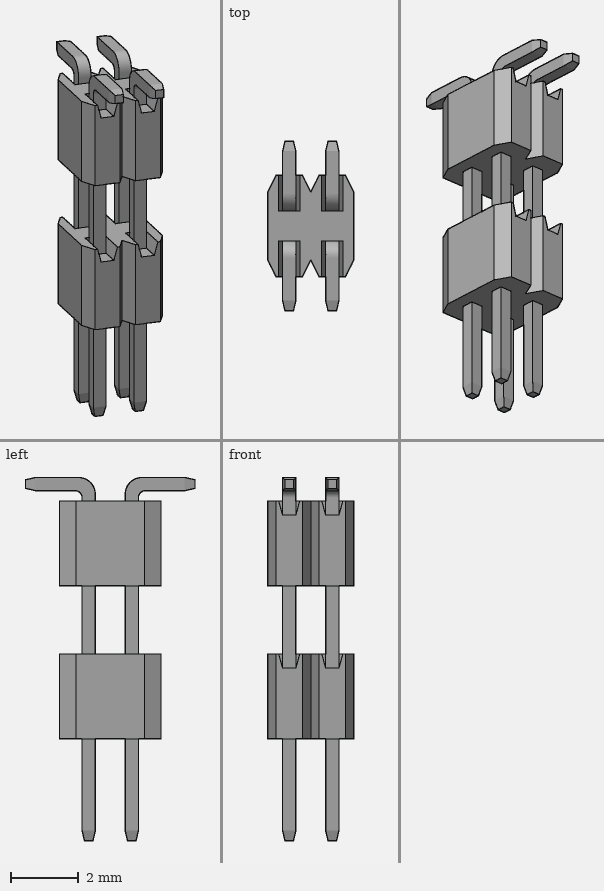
import cadquery as cq

TOTAL_WIDTH = 2.54
COLUMNS = 2
PITCH = TOTAL_WIDTH / COLUMNS
COLUMN_XS = [(i - (COLUMNS - 1) / 2) * PITCH for i in range(COLUMNS)]

TOTAL_HEIGHT = 10.7
TOTAL_DEPTH = 5.0
PIN_SIZE = 0.4
TIP_LENGTH = 0.3
TIP_SIZE = 0.26
BEND_INNER_RADIUS = 0.2
BEND_OUTER_RADIUS = 0.5

BODY_HEIGHT = 2.5
BODY_DEPTH = 3.0
BODY_GAP = 2.0
TAIL_LENGTH = 3.0
BODY_BOTTOMS = [TAIL_LENGTH, TAIL_LENGTH + BODY_HEIGHT + BODY_GAP]
CORNER_CUT_X = 0.25
CORNER_CUT_Y = 0.49

SLOT_TOP_WIDTH = 0.62
SLOT_FLOOR_WIDTH = PIN_SIZE
SLOT_DEPTH = 0.41

PIN_INNER_Y = (PITCH - PIN_SIZE) / 2
PIN_OUTER_Y = PIN_INNER_Y + PIN_SIZE


def segment_outline(x):
    """Plan of one body segment: a rectangle with its four corners cut off."""
    half_width = PITCH / 2
    half_depth = BODY_DEPTH / 2
    flat_x = half_width - CORNER_CUT_X
    flat_y = half_depth - CORNER_CUT_Y
    return cq.Workplane("XY").center(x, 0).polyline([
        (half_width, -flat_y),
        (half_width, flat_y),
        (flat_x, half_depth),
        (-flat_x, half_depth),
        (-half_width, flat_y),
        (-half_width, -flat_y),
        (-flat_x, -half_depth),
        (flat_x, -half_depth),
    ]).close()


def rear_slot(x):
    """Tapered slot from the inner face of a rear pin out through the body's rear side."""
    floor_z = BODY_HEIGHT - SLOT_DEPTH
    return (
        cq.Workplane("XZ", origin=(x, PIN_INNER_Y, 0))
        .polyline([
            (-SLOT_FLOOR_WIDTH / 2, floor_z),
            (SLOT_FLOOR_WIDTH / 2, floor_z),
            (SLOT_TOP_WIDTH / 2, BODY_HEIGHT),
            (-SLOT_TOP_WIDTH / 2, BODY_HEIGHT),
        ])
        .close()
        .extrude(PIN_INNER_Y - BODY_DEPTH / 2)
    )


def make_body():
    """One plastic body standing on Z = 0."""
    body = cq.Workplane("XY")
    for x in COLUMN_XS:
        body = body.union(segment_outline(x).extrude(BODY_HEIGHT))
    for x in COLUMN_XS:
        slot = rear_slot(x)
        body = body.cut(slot).cut(slot.mirror("XZ"))
    return body


def tip(base):
    """Pyramid-shaped pin end, growing along the normal of the base workplane."""
    return (
        base.rect(PIN_SIZE, PIN_SIZE)
        .workplane(offset=TIP_LENGTH)
        .rect(TIP_SIZE, TIP_SIZE)
        .loft(ruled=True)
    )


def make_rear_pin(x):
    """Bent pin of the rear row, with a tapered tip at each end."""
    arm_end_y = TOTAL_DEPTH / 2 - TIP_LENGTH
    arm_bottom_z = TOTAL_HEIGHT - PIN_SIZE
    shank = (
        cq.Workplane("YZ", origin=(x - PIN_SIZE / 2, 0, 0))
        .moveTo(PIN_INNER_Y, TIP_LENGTH)
        .lineTo(PIN_OUTER_Y, TIP_LENGTH)
        .lineTo(PIN_OUTER_Y, arm_bottom_z - BEND_INNER_RADIUS)
        .radiusArc((PIN_OUTER_Y + BEND_INNER_RADIUS, arm_bottom_z), BEND_INNER_RADIUS)
        .lineTo(arm_end_y, arm_bottom_z)
        .lineTo(arm_end_y, TOTAL_HEIGHT)
        .lineTo(PIN_INNER_Y + BEND_OUTER_RADIUS, TOTAL_HEIGHT)
        .radiusArc((PIN_INNER_Y, TOTAL_HEIGHT - BEND_OUTER_RADIUS), -BEND_OUTER_RADIUS)
        .close()
        .extrude(PIN_SIZE)
    )
    lower_base = cq.Workplane(cq.Plane((x, PITCH / 2, TIP_LENGTH), (1, 0, 0), (0, 0, -1)))
    arm_center_z = TOTAL_HEIGHT - PIN_SIZE / 2
    arm_base = cq.Workplane(cq.Plane((x, arm_end_y, arm_center_z), (1, 0, 0), (0, 1, 0)))
    return shank.union(tip(lower_base)).union(tip(arm_base))


result = cq.Workplane("XY")
body = make_body()
for bottom_z in BODY_BOTTOMS:
    result = result.union(body.translate((0, 0, bottom_z)))
for x in COLUMN_XS:
    pin = make_rear_pin(x)
    result = result.union(pin).union(pin.mirror("XZ"))